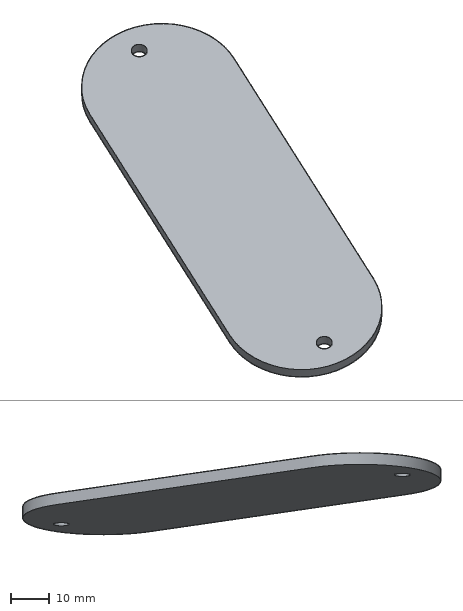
import cadquery as cq

length = 124.5
width = 42.2
thickness = 3.1

hole_diameter = 4.1
hole_spacing = 109.2

plate = cq.Workplane("XY").slot2D(length, width).extrude(thickness)

result = (
    plate.faces(">Z")
    .workplane()
    .pushPoints([(-hole_spacing / 2, 0), (hole_spacing / 2, 0)])
    .hole(hole_diameter)
)